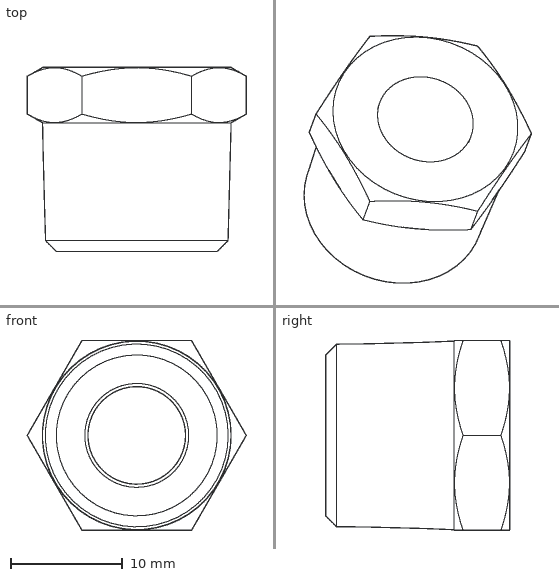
import cadquery as cq
import math

across_corners = 19.63
head_length = 5.0
head_face_radius = 8.42
head_chamfer_angle = 30.0

total_length = 16.5
shank_root_radius = 8.46
shank_end_radius = 8.19
end_chamfer = 0.98

bore_radius = 4.35
bore_chamfer = 0.3

shank_length = total_length - head_length


def revolve_about_y(profile):
    """Revolve a closed (radius, y) profile around the Y axis."""
    return cq.Workplane("XY").polyline(profile).close().revolve(360, (0, 0, 0), (0, 1, 0))


def make_head():
    """Hexagon with its corners turned off conically at both faces."""
    hexagon = cq.Workplane("XZ").polygon(6, across_corners).extrude(-head_length)
    corner_radius = across_corners / 2
    chamfer_drop = (corner_radius - head_face_radius) * math.tan(math.radians(head_chamfer_angle))
    envelope = revolve_about_y([
        (0, 0),
        (head_face_radius, 0),
        (corner_radius, chamfer_drop),
        (corner_radius, head_length - chamfer_drop),
        (head_face_radius, head_length),
        (0, head_length),
    ])
    return hexagon.intersect(envelope)


def make_shank():
    """Tapered shank with a chamfered free end."""
    return revolve_about_y([
        (0, 0),
        (shank_root_radius, 0),
        (shank_end_radius, end_chamfer - shank_length),
        (shank_end_radius - end_chamfer, -shank_length),
        (0, -shank_length),
    ])


def make_bore():
    """Through hole, widened conically at the shank end."""
    return revolve_about_y([
        (0, -shank_length),
        (bore_radius + bore_chamfer, -shank_length),
        (bore_radius, bore_chamfer - shank_length),
        (bore_radius, head_length),
        (0, head_length),
    ])


result = make_head().union(make_shank()).cut(make_bore())